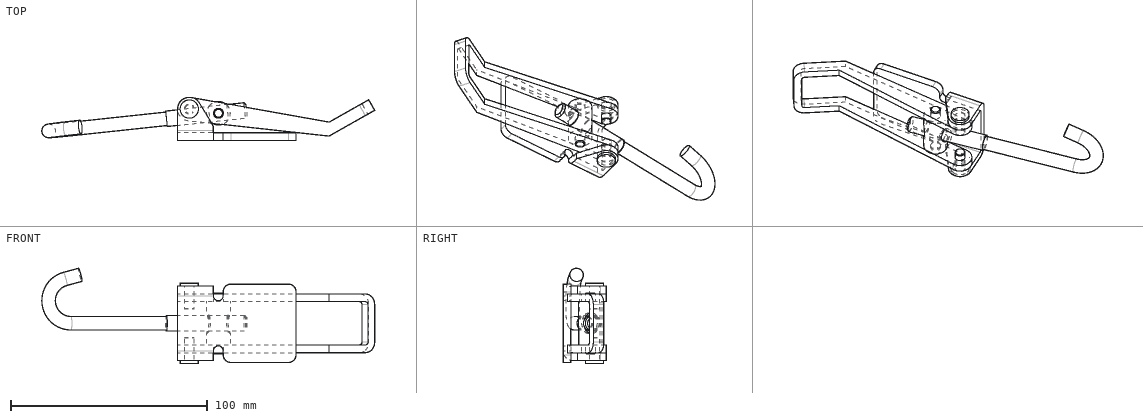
import cadquery as cq
import math


SHEET = 4.0
PIVOT_TO_BACK = 16.0
EAR_RADIUS = 6.0
EAR_SPAN = 38.0
BEND_RADIUS = 5.0
EAR_END_X = 12.3
EAR_SHOULDER_Y = -8.8
PLATE_HEIGHT = 40.0
PLATE_START_X = 17.2
PLATE_END_X = 54.4
PLATE_CORNER = 4.0
NOTCH_DEPTH_Z = 11.5

LEVER_WIDTH = 30.0
LEVER_RADIUS = 6.0
TOP_SLOPE = 10.1
BOTTOM_SLOPE = 6.25
GRIP_RISE = 29.5
TOP_KINK_X = 71.2
BOTTOM_KINK_X = 71.1
GRIP_LENGTH = 23.1
GRIP_CORNER = 5.5

HEAD_DIAMETER = 9.3
HEAD_HEIGHT = 1.5
RIVET_DIAMETER = 5.0
RIVET_STUB = 3.8
RIVET_CHAMFER = 0.3

BARREL_DIAMETER = 12.0
BARREL_DISTANCE = 15.0
COUNTERSINK_DIAMETER = 10.6
TRUNNION_DIAMETER = 5.0
TRUNNION_PROUD = 0.5
TRUNNION_CHAMFER = 0.5

ROD_DIAMETER = 7.0
THREAD_DIAMETER = 8.0
THREAD_LENGTH = 41.0
THREAD_BEYOND_BARREL = 14.4
THREAD_CHAMFER = 1.0
ROD_ANGLE = 6.1
HOOK_ROLL = 1.2
HOOK_REACH = 75.4
HOOK_RADIUS = 11.5
HOOK_OPENING = 15.0
TIP_LENGTH = 8.0


def polar(radius, degrees):
    angle = math.radians(degrees)
    return (radius * math.cos(angle), radius * math.sin(angle))


def extrude_between(sketch, z_low, z_high):
    return sketch.extrude(z_high - z_low).translate((0, 0, z_low))


EAR_OUTER_Z = EAR_SPAN / 2
ARM_OUTER_Z = LEVER_WIDTH / 2
ARM_INNER_Z = ARM_OUTER_Z - SHEET
BACK_Y = -PIVOT_TO_BACK

LEVER_AXIS_ANGLE = -(TOP_SLOPE + BOTTOM_SLOPE) / 2
BARREL_X, BARREL_Y = polar(BARREL_DISTANCE, LEVER_AXIS_ANGLE)


def ear_outline():
    """Side outline of the bracket's bent part, from the plate's outer face to the round nose."""
    shoulder_distance = math.hypot(EAR_END_X, EAR_SHOULDER_Y)
    shoulder_angle = math.degrees(math.atan2(EAR_SHOULDER_Y, EAR_END_X))
    tangent_angle = shoulder_angle + math.degrees(math.acos(EAR_RADIUS / shoulder_distance))
    return (
        cq.Workplane("XY")
        .moveTo(-EAR_RADIUS, BACK_Y)
        .lineTo(EAR_END_X, BACK_Y)
        .lineTo(EAR_END_X, EAR_SHOULDER_Y)
        .lineTo(*polar(EAR_RADIUS, tangent_angle))
        .threePointArc(polar(EAR_RADIUS, (tangent_angle + 180) / 2), (-EAR_RADIUS, 0))
        .close()
    )


def make_bracket():
    channel = extrude_between(ear_outline(), -EAR_OUTER_Z, EAR_OUTER_Z)
    channel = channel.edges("|X and <Y").fillet(BEND_RADIUS)
    inside_height = EAR_SPAN - 2 * SHEET
    ear_length = EAR_END_X + EAR_RADIUS
    inside_depth = PIVOT_TO_BACK - SHEET + EAR_RADIUS
    inside = (
        cq.Workplane("XY")
        .box(ear_length, inside_depth, inside_height, centered=(False, False, True))
        .translate((-EAR_RADIUS, BACK_Y + SHEET, 0))
        .edges("|X and <Y")
        .fillet(BEND_RADIUS - SHEET)
    )
    plate = (
        cq.Workplane("XY")
        .box(PLATE_END_X - PLATE_START_X, SHEET, PLATE_HEIGHT, centered=(False, False, True))
        .edges("|Y")
        .fillet(PLATE_CORNER)
        .translate((PLATE_START_X, BACK_Y, 0))
    )
    notch_width = PLATE_START_X - EAR_END_X
    notch_middle_x = (PLATE_START_X + EAR_END_X) / 2
    neck = (
        cq.Workplane("XY")
        .box(notch_width + PLATE_CORNER, SHEET, EAR_SPAN - 2 * BEND_RADIUS, centered=(False, False, True))
        .translate((EAR_END_X, BACK_Y, 0))
    )
    bracket = channel.cut(inside).union(plate).union(neck)
    for side in (-1, 1):
        notch_round_z = side * (NOTCH_DEPTH_Z + notch_width / 2)
        notch_end = (
            cq.Workplane("XZ", origin=(notch_middle_x, BACK_Y + SHEET, notch_round_z))
            .circle(notch_width / 2)
            .extrude(SHEET)
        )
        bracket = bracket.cut(notch_end)
    rivet_holes = cq.Workplane("XY").circle(RIVET_DIAMETER / 2).extrude(EAR_OUTER_Z, both=True)
    return bracket.cut(rivet_holes)


def lever_outline():
    top_tangent = polar(LEVER_RADIUS, 90 - TOP_SLOPE)
    bottom_tangent = polar(LEVER_RADIUS, -90 - BOTTOM_SLOPE)
    top_fall = math.tan(math.radians(TOP_SLOPE))
    bottom_fall = math.tan(math.radians(BOTTOM_SLOPE))
    top_kink = (TOP_KINK_X, top_tangent[1] - (TOP_KINK_X - top_tangent[0]) * top_fall)
    bottom_kink = (BOTTOM_KINK_X, bottom_tangent[1] - (BOTTOM_KINK_X - bottom_tangent[0]) * bottom_fall)
    along_x, along_y = polar(1, GRIP_RISE)
    across_x, across_y = top_kink[0] - bottom_kink[0], top_kink[1] - bottom_kink[1]
    grip_depth = across_y * along_x - across_x * along_y
    top_end = (top_kink[0] + GRIP_LENGTH * along_x, top_kink[1] + GRIP_LENGTH * along_y)
    bottom_end = (top_end[0] + grip_depth * along_y, top_end[1] - grip_depth * along_x)
    outline = (
        cq.Workplane("XY")
        .moveTo(*top_tangent)
        .threePointArc(polar(LEVER_RADIUS, 180 + LEVER_AXIS_ANGLE), bottom_tangent)
        .lineTo(*bottom_kink)
        .lineTo(*bottom_end)
        .lineTo(*top_end)
        .lineTo(*top_kink)
        .close()
    )
    return outline, top_end


def make_lever():
    outline, grip_end = lever_outline()
    blank = extrude_between(outline, -ARM_OUTER_Z, ARM_OUTER_Z)
    grip_frame = cq.Plane(origin=(*grip_end, 0), xDir=(*polar(1, GRIP_RISE), 0), normal=(0, 0, 1))
    reach = 2 * TOP_KINK_X
    outer = (
        cq.Workplane(grip_frame)
        .box(reach, reach, LEVER_WIDTH, centered=(False, True, True), combine=False)
        .translate(grip_frame.xDir * -reach)
        .edges(cq.selectors.ParallelDirSelector(grip_frame.yDir))
        .fillet(GRIP_CORNER)
    )
    inner = (
        cq.Workplane(grip_frame)
        .box(reach, reach, LEVER_WIDTH - 2 * SHEET, centered=(False, True, True), combine=False)
        .translate(grip_frame.xDir * -(reach + SHEET))
        .edges(cq.selectors.ParallelDirSelector(grip_frame.yDir))
        .fillet(GRIP_CORNER - SHEET)
    )
    rivet_holes = cq.Workplane("XY").circle(RIVET_DIAMETER / 2).extrude(ARM_OUTER_Z, both=True)
    trunnion_holes = (
        cq.Workplane("XY")
        .center(BARREL_X, BARREL_Y)
        .circle(TRUNNION_DIAMETER / 2)
        .extrude(ARM_OUTER_Z, both=True)
    )
    return blank.intersect(outer).cut(inner).cut(rivet_holes).cut(trunnion_holes)


def make_rivet(side):
    """Rivet through one ear and one lever arm; side is 1 for the upper one, -1 for the lower."""
    shank = extrude_between(
        cq.Workplane("XY").circle(RIVET_DIAMETER / 2), ARM_INNER_Z - RIVET_STUB, EAR_OUTER_Z
    )
    shank = shank.faces("<Z").chamfer(RIVET_CHAMFER)
    head = extrude_between(
        cq.Workplane("XY").circle(HEAD_DIAMETER / 2), EAR_OUTER_Z, EAR_OUTER_Z + HEAD_HEIGHT
    )
    rivet = shank.union(head)
    return rivet if side > 0 else rivet.mirror("XY")


def place_on_barrel(body):
    return body.rotate((0, 0, 0), (0, 0, 1), ROD_ANGLE).translate((BARREL_X, BARREL_Y, 0))


def make_hook():
    thread_start_x = THREAD_BEYOND_BARREL - THREAD_LENGTH
    thread = (
        cq.Workplane("YZ", origin=(thread_start_x, 0, 0))
        .circle(THREAD_DIAMETER / 2)
        .extrude(THREAD_LENGTH)
        .faces(">X")
        .chamfer(THREAD_CHAMFER)
    )
    bend_end_angle = 90 + HOOK_OPENING
    bend_middle = polar(HOOK_RADIUS, (bend_end_angle + 270) / 2)
    bend_end = polar(HOOK_RADIUS, bend_end_angle)
    tip = polar(TIP_LENGTH, HOOK_OPENING)
    bend_end_point = (bend_end[0] - HOOK_REACH, bend_end[1] + HOOK_RADIUS)
    path = (
        cq.Workplane("XZ")
        .moveTo(thread_start_x, 0)
        .lineTo(-HOOK_REACH, 0)
        .threePointArc((bend_middle[0] - HOOK_REACH, bend_middle[1] + HOOK_RADIUS), bend_end_point)
        .lineTo(bend_end_point[0] + tip[0], bend_end_point[1] + tip[1])
    )
    rod = cq.Workplane("YZ", origin=(thread_start_x, 0, 0)).circle(ROD_DIAMETER / 2).sweep(path)
    hook = thread.union(rod).rotate((0, 0, 0), (1, 0, 0), -HOOK_ROLL)
    return place_on_barrel(hook)


def make_barrel():
    body = cq.Workplane("XY").circle(BARREL_DIAMETER / 2).extrude(ARM_INNER_Z, both=True)
    trunnions = (
        cq.Workplane("XY")
        .circle(TRUNNION_DIAMETER / 2)
        .extrude(ARM_OUTER_Z + TRUNNION_PROUD, both=True)
        .faces("<Z or >Z")
        .chamfer(TRUNNION_CHAMFER)
    )
    thread_hole = cq.Workplane("YZ").circle(THREAD_DIAMETER / 2).extrude(BARREL_DIAMETER, both=True)
    barrel = body.union(trunnions).cut(thread_hole)
    for side in (-1, 1):
        mouth = cq.Vector(side * BARREL_DIAMETER / 2, 0, 0)
        inward = cq.Vector(-side, 0, 0)
        cone_depth = COUNTERSINK_DIAMETER / 2
        countersink = cq.Solid.makeCone(COUNTERSINK_DIAMETER / 2, 0, cone_depth, mouth, inward)
        barrel = barrel.cut(cq.Workplane(countersink))
    return place_on_barrel(barrel)


bracket = make_bracket()
lever = make_lever()
rivets = [make_rivet(side) for side in (-1, 1)]
barrel = make_barrel()
hook = make_hook()

result = cq.Compound.makeCompound(
    [bracket.val(), lever.val(), barrel.val(), hook.val(), *[rivet.val() for rivet in rivets]]
)